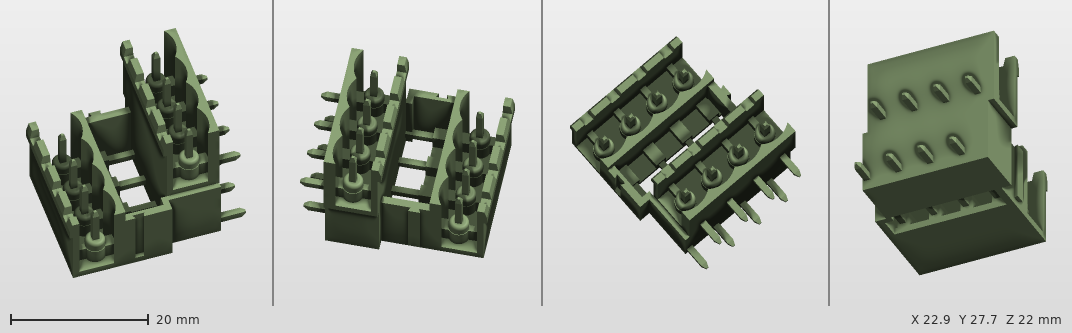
import cadquery as cq


overall_width = 22.85
pins_per_row = 4
pitch = overall_width / (pins_per_row + 0.5)
row_width = pins_per_row * pitch
row_height = 12.0
row_step_x = pitch / 2
row_step_y = 15.18
row_step_z = 10.0
upper_origin = (0, 0, row_step_z)
lower_origin = (row_step_x, -row_step_y, 0)

row_depth = 8.03
back_wall = 1.77
front_wall = 0.97
floor_thickness = 1.05
scallop_depth = 0.85
lip_overhang = 0.5
lip_height = 2.83
lip_bevel_run = 0.4
lip_bevel_height = 1.33
notch_top_width = 2.05
notch_bottom_width = 1.45

boss_diameter = 3.0
boss_foot_diameter = 3.15
boss_top = 4.85
boss_edge_radius = 0.5
pin_setback = 3.85
block_width = 1.85
block_top = 3.38
rib_width = 1.0

pin_size = 1.0
pin_top = 10.72
tail_height = 2.08
tail_overhang = 4.0
tip_length = 0.78
tip_size = 0.4

base_left = 0.97
base_right = row_width + 0.78
side_wall = 1.15
jog_depth = 0.95
ledge_depth = 3.0

dovetail_y = -13.02
dovetail_wide = 1.83
dovetail_narrow = 1.25
dovetail_depth = 0.65
dovetail_bottom = 1.0


def box(x0, x1, y0, y1, z0, z1):
    """Box given by its limits along each axis."""
    return cq.Workplane("XY").box(x1 - x0, y1 - y0, z1 - z0, centered=False).translate((x0, y0, z0))


def pin_positions():
    """X positions of the pins measured from the left end of a row."""
    return [(i + 0.5) * pitch for i in range(pins_per_row)]


def row_trough():
    """Open-ended trough with a latch lip along the top of its front wall."""
    front_inside = -(row_depth - front_wall)
    lip_front = -(row_depth + lip_overhang)
    profile = [
        (0, 0),
        (0, row_height),
        (-back_wall, row_height),
        (-back_wall, floor_thickness),
        (front_inside, floor_thickness),
        (front_inside, row_height),
        (lip_front + lip_bevel_run, row_height),
        (lip_front, row_height - lip_bevel_height),
        (lip_front, row_height - lip_height),
        (-row_depth, row_height - lip_height),
        (-row_depth, 0),
    ]
    return cq.Workplane("YZ").polyline(profile).close().extrude(row_width)


def scallop(x):
    """Arc-shaped hollow in the back wall behind one pin."""
    return (
        cq.Workplane("XY", origin=(x, -back_wall, floor_thickness))
        .moveTo(-pitch / 2, 0)
        .threePointArc((0, scallop_depth), (pitch / 2, 0))
        .close()
        .extrude(row_height - floor_thickness)
    )


def latch_notch(x):
    """Tapered notch through the front wall and the bevelled part of its lip."""
    notch_bottom = row_height - lip_bevel_height
    return (
        cq.Workplane("XZ", origin=(x, -(row_depth - front_wall), 0))
        .polyline([
            (-notch_bottom_width / 2, notch_bottom),
            (notch_bottom_width / 2, notch_bottom),
            (notch_top_width / 2, row_height),
            (-notch_top_width / 2, row_height),
        ])
        .close()
        .extrude(front_wall + lip_overhang)
    )


def pin_support(x):
    """Stepped round boss around one pin, tied to the back wall by a block and to the front wall by a rib."""
    boss = (
        cq.Workplane("XY", origin=(x, -pin_setback, 0))
        .circle(boss_diameter / 2)
        .extrude(boss_top)
        .faces(">Z")
        .edges()
        .fillet(boss_edge_radius)
    )
    foot = cq.Workplane("XY", origin=(x, -pin_setback, 0)).circle(boss_foot_diameter / 2).extrude(block_top)
    back_y = -(back_wall - scallop_depth)
    block = box(x - block_width / 2, x + block_width / 2, -pin_setback, back_y, 0, block_top)
    rib = box(x - rib_width / 2, x + rib_width / 2, -row_depth, -pin_setback, 0, block_top)
    return boss.union(foot).union(block).union(rib)


def header_row():
    """One row of the housing, with its left, back, bottom corner at the origin."""
    row = row_trough()
    for x in pin_positions():
        row = row.cut(scallop(x)).cut(latch_notch(x))
    for x in pin_positions():
        row = row.union(pin_support(x))
    return row


def base():
    """Solid base under the upper row, with the jog that leads to the right side wall."""
    block = box(base_left, base_right, -row_depth, 0, 0, row_step_z)
    jog = box(row_width, overall_width, -(row_depth + jog_depth), -row_depth, 0, row_step_z)
    return block.union(jog)


def side_walls():
    """Walls that join the base to the lower row at both ends."""
    left = box(row_step_x, row_step_x + side_wall, -row_step_y, -row_depth, 0, row_step_z)
    right = box(overall_width - side_wall, overall_width, -row_step_y, -row_depth, 0, row_step_z)
    return left.union(right)


def ledge():
    """Shelf behind the lower row, with a raised cover over each horizontal pin leg."""
    front = -row_step_y
    back = front + ledge_depth
    shelf = box(row_step_x, overall_width, front, back, 0, floor_thickness)
    for pin_x in pin_positions():
        x = row_step_x + pin_x
        shelf = shelf.union(box(x - block_width / 2, x + block_width / 2, front, back, 0, block_top))
    return shelf


def dovetail(root_x):
    """Dovetail prism that widens toward -X from its narrow root."""
    return (
        cq.Workplane("XY", origin=(root_x, dovetail_y, dovetail_bottom))
        .polyline([
            (0, -dovetail_narrow / 2),
            (0, dovetail_narrow / 2),
            (-dovetail_depth, dovetail_wide / 2),
            (-dovetail_depth, -dovetail_wide / 2),
        ])
        .close()
        .extrude(row_step_z - dovetail_bottom)
    )


def pin(x, row_back, row_bottom):
    """L-shaped square pin with tapered tips; x and row_back locate its row position."""
    half = pin_size / 2
    axis_y = row_back - pin_setback
    axis_z = row_bottom + tail_height
    post_end = row_bottom + pin_top - tip_length
    tail_end = tail_overhang - tip_length
    post = box(x - half, x + half, axis_y - half, axis_y + half, axis_z - half, post_end)
    tail = box(x - half, x + half, axis_y - half, tail_end, axis_z - half, axis_z + half)
    post_tip = (
        cq.Workplane("XY", origin=(x, axis_y, post_end))
        .rect(pin_size, pin_size)
        .workplane(offset=tip_length)
        .rect(tip_size, tip_size)
        .loft()
    )
    tail_tip = (
        cq.Workplane("XZ", origin=(x, tail_end, axis_z))
        .rect(pin_size, pin_size)
        .workplane(offset=-tip_length)
        .rect(tip_size, tip_size)
        .loft()
    )
    return post.union(tail).union(post_tip).union(tail_tip)


pins = []
for left, back, bottom in (upper_origin, lower_origin):
    for pin_x in pin_positions():
        pins.append(pin(left + pin_x, back, bottom))

housing = base().union(side_walls()).union(ledge())
housing = housing.union(header_row().translate(upper_origin))
housing = housing.union(header_row().translate(lower_origin))
housing = housing.union(dovetail(row_step_x))
housing = housing.cut(dovetail(overall_width))
for body in pins:
    housing = housing.cut(body)

result = cq.Compound.makeCompound([housing.val(), *[body.val() for body in pins]])